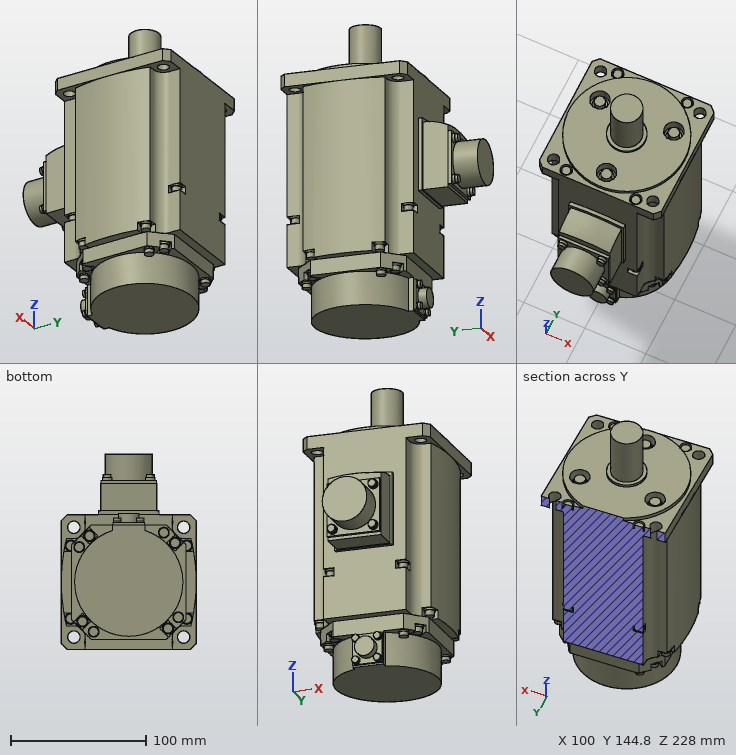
import cadquery as cq
import math


shaft_dia = 24
shaft_top = 45
collar_dia = 30
collar_top = 5
pilot_dia = 95
pilot_top = 3

flange_size = 100
flange_half = flange_size / 2
flange_thickness = 10
flange_chamfer = 4.5
mount_circle_dia = 115
mount_hole_dia = 9
mount_offset = mount_circle_dia / 2 * math.sqrt(0.5)

body_bottom = -145
body_height = -flange_thickness - body_bottom
corner_wall = 32.3
groove_radius = mount_offset - corner_wall
side_edge = 46

plate_bottom = -157
plate_height = body_bottom - plate_bottom
plate_size = 85
plate_chamfer = 14.8
motor_bottom = -183
encoder_height = plate_bottom - motor_bottom
encoder_dia = 80.2

M5_SCREW = (8.5, 5, 11.5, 1.3)
M4_SCREW = (7, 4, 8.5, 1.5)
M4_LOW_SCREW = (7, 3, 8, 1.2)
POWER_SCREW = (6, 2.2, 7, 2.1)
SIGNAL_SCREW = (5.4, 2.2, 5.8, 0.9)

pilot_screw_radius = 35
pilot_screw_recess_dia = 15
pilot_screw_sink = 2.2
flange_screw_x = 28.5
flange_screw_y = 44.5
flange_screw_recess_dia = 9
flange_screw_sink = 0.9

notch_half = 4.25
notch_reach = 20
body_notch_top = -105.5
body_notch_height = 6.1
foot_screw_x = 43
foot_screw_y = 27
foot_notch_height = 6.4
plate_notch_height = M4_SCREW[1] + M4_SCREW[3]
plate_notch_width = 8.6
plate_screw_circle_dia = 90
plate_notch_screw_angle = 49.7
plate_low_screw_angle = 35.3

power_z = -69.3
power_base_width = 45
power_base_thickness = 3
power_base_bottom = -93.3
power_base_shoulder = -36.8
power_base_crown = -35.1
power_housing_width = 41.7
power_housing_bottom = -92.5
power_housing_shoulder = -39.6
power_housing_crown = -37.8
power_housing_length = 20
power_housing_top_radius = 50
power_flange_size = 41.4
power_flange_thickness = 2.4
power_barrel_dia = 35
power_screw_offset = 16
power_end_y = -94.8

signal_z = -170
signal_pad_width = 24
signal_pad_y = -plate_size / 2
signal_flange_size = 23.3
signal_flange_thickness = 1.8
signal_barrel_dia = 15.4
signal_screw_offset = 8.5
signal_end_y = -51


def cylinder(dia, start, length, direction):
    """Solid cylinder from its start point along a direction."""
    return cq.Workplane(cq.Solid.makeCylinder(dia / 2, length, cq.Vector(*start), cq.Vector(*direction)))


def block(x_range, y_range, z_range):
    """Axis-aligned box from its limits."""
    size = [limits[1] - limits[0] for limits in (x_range, y_range, z_range)]
    corner = cq.Vector(x_range[0], y_range[0], z_range[0])
    return cq.Workplane(cq.Solid.makeBox(*size, corner))


def screw(sizes, seat, direction):
    """Washer and plain head standing on a seat point."""
    head_dia, head_height, washer_dia, washer_thickness = sizes
    washer = cylinder(washer_dia, seat, washer_thickness, direction)
    head = cylinder(head_dia, seat, washer_thickness + head_height, direction)
    return washer.union(head)


def rotations(point, count):
    """The point repeated evenly around the shaft axis."""
    x, y = point
    turns = [2 * math.pi * i / count for i in range(count)]
    return [(x * math.cos(t) - y * math.sin(t), x * math.sin(t) + y * math.cos(t)) for t in turns]


def four_corners(x, y):
    """The point mirrored into all four quadrants."""
    return [(sx * x, sy * y) for sx in (-1, 1) for sy in (-1, 1)]


def shaft_end():
    pilot = cylinder(pilot_dia, (0, 0, 0), pilot_top, (0, 0, 1))
    collar = cylinder(collar_dia, (0, 0, 0), collar_top, (0, 0, 1))
    shaft = cylinder(shaft_dia, (0, 0, 0), shaft_top, (0, 0, 1))
    return pilot.union(collar).union(shaft)


def flange():
    plate = cq.Workplane("XY").rect(flange_size, flange_size).extrude(-flange_thickness)
    return plate.edges("|Z").chamfer(flange_chamfer)


def body():
    """Body with flat front and back, bowed sides and a round groove along each corner."""
    profile = (
        cq.Workplane("XY")
        .workplane(offset=body_bottom)
        .moveTo(-corner_wall, -flange_half)
        .lineTo(corner_wall, -flange_half)
        .lineTo(corner_wall, -corner_wall)
        .lineTo(side_edge, -corner_wall)
        .threePointArc((flange_half, 0), (side_edge, corner_wall))
        .lineTo(corner_wall, corner_wall)
        .lineTo(corner_wall, flange_half)
        .lineTo(-corner_wall, flange_half)
        .lineTo(-corner_wall, corner_wall)
        .lineTo(-side_edge, corner_wall)
        .threePointArc((-flange_half, 0), (-side_edge, -corner_wall))
        .lineTo(-corner_wall, -corner_wall)
        .close()
        .extrude(body_height)
    )
    reach = (corner_wall + side_edge) / 2
    inner_corners = cq.selectors.BoxSelector((-reach, -reach, body_bottom), (reach, reach, 0))
    return profile.edges("|Z").edges(inner_corners).fillet(groove_radius)


def adapter_plate():
    base = cq.Workplane("XY").workplane(offset=plate_bottom)
    plate = base.rect(plate_size, plate_size).extrude(plate_height)
    return plate.edges("|Z").chamfer(plate_chamfer)


def encoder():
    housing = cylinder(encoder_dia, (0, 0, motor_bottom), encoder_height, (0, 0, 1))
    pad_x = (-signal_pad_width / 2, signal_pad_width / 2)
    return housing.union(block(pad_x, (signal_pad_y, 0), (motor_bottom, plate_bottom)))


def add_pilot_screws(part):
    """Three recessed screws around the shaft."""
    depth = pilot_screw_sink + M5_SCREW[1] + M5_SCREW[3]
    seat_z = pilot_top - depth
    for x, y in rotations((0, -pilot_screw_radius), 3):
        part = part.cut(cylinder(pilot_screw_recess_dia, (x, y, seat_z), depth, (0, 0, 1)))
        part = part.union(screw(M5_SCREW, (x, y, seat_z), (0, 0, 1)))
    return part


def outward_notch(x, y, z_range):
    """Square pocket around a screw, open towards the nearest body corner."""
    x_limits = sorted((x - math.copysign(notch_half, x), x + math.copysign(notch_reach, x)))
    y_limits = sorted((y - math.copysign(notch_half, y), y + math.copysign(notch_reach, y)))
    return block(x_limits, y_limits, z_range)


def add_flange_screws(part):
    """Four recessed screws in the flange face, each with a second one in a body notch below it."""
    depth = flange_screw_sink + M4_SCREW[1] + M4_SCREW[3]
    notch_z = (body_notch_top - body_notch_height, body_notch_top)
    for x, y in four_corners(flange_screw_x, flange_screw_y):
        part = part.cut(cylinder(flange_screw_recess_dia, (x, y, -depth), depth + pilot_top, (0, 0, 1)))
        part = part.union(screw(M4_SCREW, (x, y, -depth), (0, 0, 1)))
        part = part.cut(outward_notch(x, y, notch_z))
        part = part.union(screw(M4_SCREW, (x, y, body_notch_top), (0, 0, -1)))
    return part


def add_mount_holes(part):
    for x, y in four_corners(mount_offset, mount_offset):
        part = part.cut(cylinder(mount_hole_dia, (x, y, -flange_thickness), flange_thickness, (0, 0, 1)))
    return part


def add_foot_screws(part):
    """Four screws in notches at the foot of the body."""
    seat_z = body_bottom + foot_notch_height
    for x, y in four_corners(foot_screw_x, foot_screw_y):
        part = part.cut(outward_notch(x, y, (body_bottom, seat_z)))
        part = part.union(screw(M4_SCREW, (x, y, seat_z), (0, 0, -1)))
    return part


def chamfer_notch(x, y, seat_z):
    """Pocket around a plate screw, open squarely through the nearest plate chamfer."""
    slot = block(
        (-plate_notch_width / 2, notch_reach),
        (-plate_notch_width / 2, plate_notch_width / 2),
        (plate_bottom, seat_z),
    )
    facing = math.degrees(math.atan2(math.copysign(1, y), math.copysign(1, x)))
    return slot.rotate((0, 0, 0), (0, 0, 1), facing).translate((x, y, 0))


def plate_screw_places(angle):
    """Four places on the plate screw circle, starting from an angle in degrees."""
    radius = plate_screw_circle_dia / 2
    start = math.radians(angle)
    return rotations((radius * math.cos(start), radius * math.sin(start)), 4)


def add_plate_screws(part):
    """Screws in the chamfer notches of the adapter plate and screws under the plate."""
    seat_z = plate_bottom + plate_notch_height
    for x, y in plate_screw_places(plate_notch_screw_angle):
        part = part.cut(chamfer_notch(x, y, seat_z))
        part = part.union(screw(M4_SCREW, (x, y, seat_z), (0, 0, -1)))
    for x, y in plate_screw_places(plate_low_screw_angle):
        part = part.union(screw(M4_LOW_SCREW, (x, y, plate_bottom), (0, 0, -1)))
    return part


def crowned_outline(y, width, bottom, shoulder, crown):
    """Upright outline at a given Y: a rectangle with an arched top."""
    half = width / 2
    return (
        cq.Workplane("XZ", origin=(0, y, 0))
        .moveTo(-half, bottom)
        .lineTo(half, bottom)
        .lineTo(half, shoulder)
        .threePointArc((0, crown), (-half, shoulder))
        .close()
    )


def power_housing(y_start):
    """Housing whose arched top also curves down towards its outer end."""
    axis_z = power_housing_crown - power_housing_top_radius
    y_end = y_start - power_housing_length
    half = power_housing_width / 2
    barrel = crowned_outline(
        y_start, power_housing_width, axis_z, power_housing_shoulder, power_housing_crown
    ).revolve(360, (-half, axis_z, 0), (half, axis_z, 0))
    limits = block((-half, half), (y_end, y_start), (axis_z, power_housing_crown))
    lower = block((-half, half), (y_end, y_start), (power_housing_bottom, axis_z))
    return barrel.intersect(limits).union(lower)


def connector_end(y, centre_z, size, thickness, barrel_dia, end_y, screw_offset, sizes):
    """Square connector flange at Y with a round barrel and four screws."""
    flange_y = y - thickness
    half = size / 2
    part = block((-half, half), (flange_y, y), (centre_z - half, centre_z + half))
    part = part.union(cylinder(barrel_dia, (0, y, centre_z), y - end_y, (0, -1, 0)))
    for x, z in four_corners(screw_offset, screw_offset):
        part = part.union(screw(sizes, (x, flange_y, centre_z + z), (0, -1, 0)))
    return part


def power_connector():
    base = crowned_outline(
        -flange_half, power_base_width, power_base_bottom, power_base_shoulder, power_base_crown
    ).extrude(power_base_thickness)
    housing_y = -flange_half - power_base_thickness
    end = connector_end(
        housing_y - power_housing_length,
        power_z,
        power_flange_size,
        power_flange_thickness,
        power_barrel_dia,
        power_end_y,
        power_screw_offset,
        POWER_SCREW,
    )
    return base.union(power_housing(housing_y)).union(end)


def signal_connector():
    return connector_end(
        signal_pad_y,
        signal_z,
        signal_flange_size,
        signal_flange_thickness,
        signal_barrel_dia,
        signal_end_y,
        signal_screw_offset,
        SIGNAL_SCREW,
    )


motor = flange().union(shaft_end()).union(body()).union(adapter_plate()).union(encoder())
motor = add_mount_holes(motor)
motor = add_pilot_screws(motor)
motor = add_flange_screws(motor)
motor = add_foot_screws(motor)
motor = add_plate_screws(motor)
result = motor.union(power_connector()).union(signal_connector())